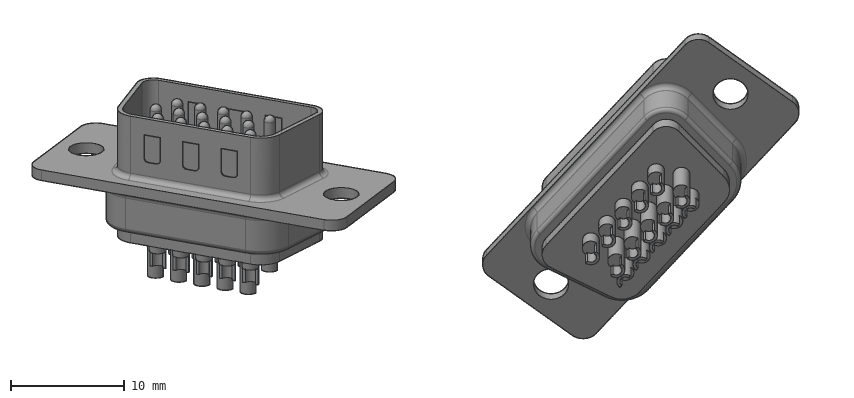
import cadquery as cq
import math

overall_height = 16.7
shell_height = 5.9
flange_thickness = 1.0
body_bottom = -4.82
insert_bottom = -6.1
pin_tip = 5.4

flange_length = 30.73
flange_width = 12.55
flange_corner_radius = 1.5
mount_hole_diameter = 3.1
mount_hole_offset = 12.5

d_half_width = 4.7
d_side_angle = math.radians(10)
back_half_straight = 7.47
back_corner_radius = 1.5
front_half_straight = 5.9
wall_thickness = 0.45
body_offset = 1.0
flange_fillet = 0.5
body_edge_fillet = 0.37

indent_width = 1.6
indent_pitch = 3.78
indent_top = 4.33
indent_bottom = 1.78
indent_corner_radius = 0.43
indent_depth = 0.1

pins_per_row = 5
pin_pitch = 2.27
row_spacing = 1.97
pin_diameter = 1.0
cup_diameter = 1.5
cup_bore_diameter = 0.98
outer_cup_bottom = -9.15
middle_cup_bottom = shell_height - overall_height
cup_opening_length = 1.57


def front_corner_radius():
    """Radius that joins the front edge to the slanted sides of the D outline."""
    cos_a = math.cos(d_side_angle)
    sin_a = math.sin(d_side_angle)
    back_centre_y = d_half_width - back_corner_radius
    side_distance = back_half_straight * cos_a - back_centre_y * sin_a + back_corner_radius
    return (side_distance - front_half_straight * cos_a - d_half_width * sin_a) / (1 - sin_a)


def d_prism(offset, z_bottom, z_top):
    """Prism of the D outline grown by the offset; the corner arcs stay concentric."""
    half_width = d_half_width + offset
    back_radius = back_corner_radius + offset
    front_radius = front_corner_radius() + offset
    back_centre = (back_half_straight, half_width - back_radius)
    front_centre = (front_half_straight, front_radius - half_width)

    def on_arc(centre, radius, angle, side):
        x = centre[0] + radius * math.cos(angle)
        y = centre[1] + radius * math.sin(angle)
        return (side * x, y)

    side_normal = -d_side_angle
    back_middle = (math.pi / 2 + side_normal) / 2
    front_middle = (-math.pi / 2 + side_normal) / 2
    return (
        cq.Workplane("XY", origin=(0, 0, z_bottom))
        .moveTo(-back_half_straight, half_width)
        .lineTo(back_half_straight, half_width)
        .threePointArc(
            on_arc(back_centre, back_radius, back_middle, 1),
            on_arc(back_centre, back_radius, side_normal, 1),
        )
        .lineTo(*on_arc(front_centre, front_radius, side_normal, 1))
        .threePointArc(
            on_arc(front_centre, front_radius, front_middle, 1),
            (front_half_straight, -half_width),
        )
        .lineTo(-front_half_straight, -half_width)
        .threePointArc(
            on_arc(front_centre, front_radius, front_middle, -1),
            on_arc(front_centre, front_radius, side_normal, -1),
        )
        .lineTo(*on_arc(back_centre, back_radius, side_normal, -1))
        .threePointArc(
            on_arc(back_centre, back_radius, back_middle, -1),
            (-back_half_straight, half_width),
        )
        .close()
        .extrude(z_top - z_bottom)
    )


def flange_plate():
    """Rounded plate whose top face lies at Z = 0."""
    return (
        cq.Workplane("XY", origin=(0, 0, -flange_thickness))
        .rect(flange_length, flange_width)
        .extrude(flange_thickness)
        .edges("|Z")
        .fillet(flange_corner_radius)
    )


def housing():
    """Flange with the D-shaped blocks above and below it, blended by fillets."""
    lower_body = (
        d_prism(body_offset, body_bottom, -flange_thickness)
        .faces("<Z")
        .edges()
        .fillet(body_edge_fillet)
    )
    solid = flange_plate().union(d_prism(0, 0, shell_height)).union(lower_body)

    margin = 0.03
    box_length = 2 * (back_half_straight + back_corner_radius + body_offset + margin)
    box_width = 2 * (d_half_width + body_offset + margin)
    for root_z in (0, -flange_thickness):
        root = cq.selectors.BoxSelector(
            (-box_length / 2, -box_width / 2, root_z - margin),
            (box_length / 2, box_width / 2, root_z + margin),
        )
        solid = solid.edges(root).fillet(flange_fillet)

    cavity = d_prism(-wall_thickness, 0, shell_height)
    insert = d_prism(0, insert_bottom, body_bottom)
    mount_holes = (
        cq.Workplane("XY", origin=(0, 0, -flange_thickness))
        .pushPoints([(-mount_hole_offset, 0), (mount_hole_offset, 0)])
        .circle(mount_hole_diameter / 2)
        .extrude(flange_thickness)
    )
    return solid.union(insert).cut(cavity).cut(mount_holes)


def wall_indent(x, start_y):
    """Shallow pocket, rounded at the bottom, that reaches from start_y toward +Y."""
    height = indent_top - indent_bottom
    return (
        cq.Workplane("XY")
        .box(indent_width, indent_depth, height, centered=(True, False, False))
        .faces("<Z")
        .edges("|Y")
        .fillet(indent_corner_radius)
        .translate((x, start_y, indent_bottom))
    )


def contact(x, y, cup_bottom, open_side):
    """Round-tipped pin with a solder cup whose end is open toward +Y (1) or -Y (-1)."""
    pin_radius = pin_diameter / 2
    pin = (
        cq.Workplane("XY", origin=(x, y, insert_bottom))
        .circle(pin_radius)
        .extrude(pin_tip - pin_radius - insert_bottom)
    )
    tip = cq.Workplane("XY", origin=(x, y, pin_tip - pin_radius)).sphere(pin_radius)
    cup = (
        cq.Workplane("XY", origin=(x, y, cup_bottom))
        .circle(cup_diameter / 2)
        .extrude(insert_bottom - cup_bottom)
    )
    bore = (
        cq.Workplane("XY", origin=(x, y, cup_bottom))
        .circle(cup_bore_diameter / 2)
        .extrude(cup_opening_length)
    )
    opening = (
        cq.Workplane("XY", origin=(x, y + open_side * cup_diameter / 4, cup_bottom))
        .box(cup_diameter, cup_diameter / 2, cup_opening_length, centered=(True, True, False))
    )
    return pin.union(tip).union(cup.cut(bore).cut(opening))


result = housing()

for column in (-1, 0, 1):
    for start_y in (-d_half_width, d_half_width - wall_thickness):
        result = result.cut(wall_indent(column * indent_pitch, start_y))

for row in (-1, 0, 1):
    is_middle = row == 0
    row_shift = -pin_pitch / 2 if is_middle else 0
    cup_bottom = middle_cup_bottom if is_middle else outer_cup_bottom
    open_side = 1 if is_middle else row
    for column in range(pins_per_row):
        x = (column - (pins_per_row - 1) / 2) * pin_pitch + row_shift
        result = result.union(contact(x, row * row_spacing, cup_bottom, open_side))